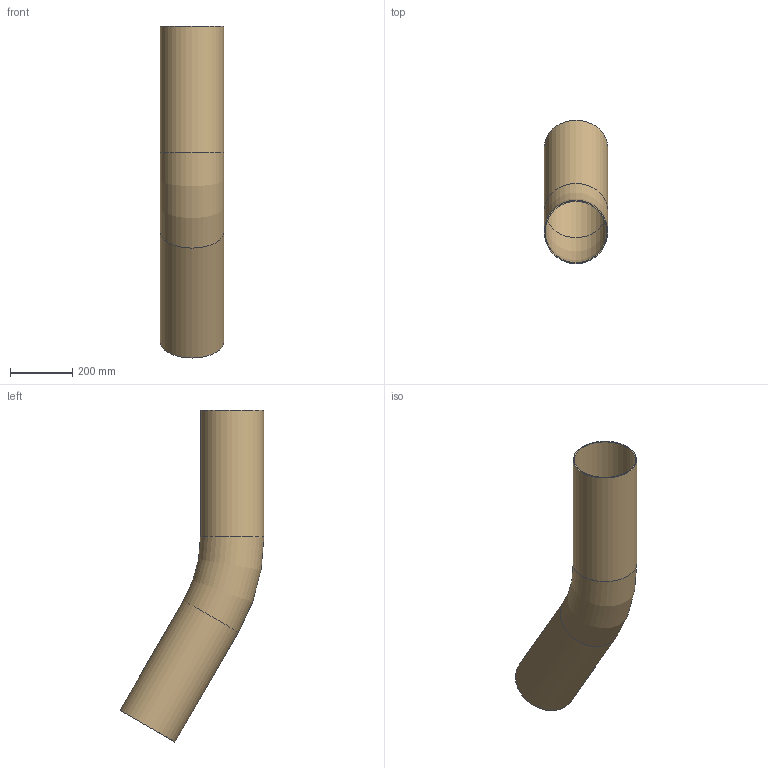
import cadquery as cq
import math

outer_diameter = 203.2
inner_diameter = 197.1

leg_length = 2 * outer_diameter
bend_radius = 2.5 * outer_diameter
bend_angle = 30.0


def pipe_centreline():
    """Path in the YZ plane, from the top opening down and over towards +Y.

    The origin is where the vertical leg meets the bend.
    """
    angle = math.radians(bend_angle)

    def bend_point(turn):
        return bend_radius * (1 - math.cos(turn)), -bend_radius * math.sin(turn)

    bend_end_y, bend_end_z = bend_point(angle)
    lower_end = (
        bend_end_y + leg_length * math.sin(angle),
        bend_end_z - leg_length * math.cos(angle),
    )
    return (
        cq.Workplane("YZ")
        .moveTo(0, leg_length)
        .lineTo(0, 0)
        .threePointArc(bend_point(angle / 2), (bend_end_y, bend_end_z))
        .lineTo(*lower_end)
    )


def bent_pipe():
    """Ring section at the top opening, swept along the centreline."""
    return (
        cq.Workplane("XY")
        .workplane(offset=leg_length)
        .circle(outer_diameter / 2)
        .circle(inner_diameter / 2)
        .sweep(pipe_centreline())
    )


result = bent_pipe()